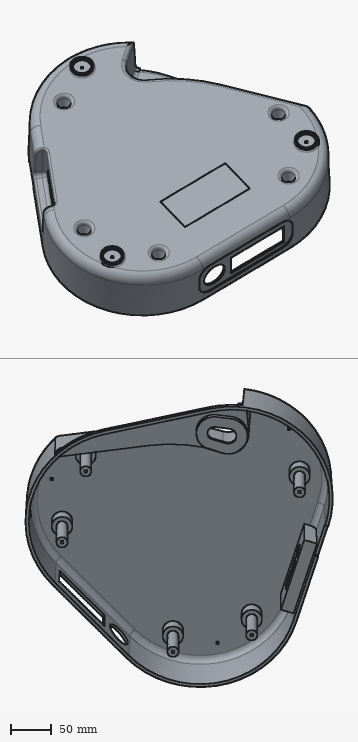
import cadquery as cq
import math

corner_radius = 124.0
side_length = 133.5
body_height = 71.0
draft = 1.5
rim_radius = 12.5
wall = 4.2

corner_distance = side_length / math.sqrt(3)
side_distance = corner_distance / 2 + corner_radius
overshoot = 19.0

notch_floor = 11.0
notch_fillet = 5.7
notch_center = (-81.5, 121.8)
notch_radius = 21.0
notch_lean = 2.0
notch_entry_angle = -82.0
notch_bend_angle = 31.5
notch_exit_angle = 5.2
notch_sweep_radius = 202.5
notch_run = 191.0

slot_big_radius = 10.0
slot_small_radius = 8.5
slot_end = (-65.3, 129.5)
slot_fillet = 9.5

pocket_side = 210.0
pocket_start = -29.8
pocket_width = 89.5
pocket_bottom = 20.5
pocket_depth = 16.8
pocket_fillet = 5.7
pocket_mouth_fillet = 2.5
round_port = (-7.5, 41.5)
round_port_radius = 8.0
square_port = (11.0, 39.7)
square_port_size = 15.3
wide_port = (33.2, 41.5)
wide_port_size = (20.5, 13.5)

gap_height = 4.2
gap_end = -24.5

panel_side = -30.0
panel_size = (143.5, 49.0)
panel_height = 33.2
panel_corner = 17.0
panel_depth = 1.0
panel_lean = 0.8
panel_hole = (-48.0, 33.0)
panel_hole_radius = 16.0
window = (18.5, 31.5)
window_size = (81.7, 31.0)
opening_depth = 11.5

label_distance = 78.0
label_size = (100.0, 50.0)
label_depth = 0.5

foot_distance = 173.0
foot_angles = (30, 150, 270)
foot_outer_radius = 14.3
foot_inner_radius = 11.5
foot_height = 4.0
foot_fillet = 1.7
tooth_count = 36
tooth_gap = 0.95

well_distance = 152.7
well_offset_angle = 19
well_in_notch = 150 - well_offset_angle
well_radius = 8.5
well_fillet = 4.5
well_floor_radius = 4.2
well_depth = 17.0
well_boss_radius = 12.5
post_radius = 7.0
screw_radius = 1.7

touch_tolerance = 0.005


def polar(radius, angle):
    """Point at a distance and an angle in degrees from the middle."""
    a = math.radians(angle)
    return (radius * math.cos(a), radius * math.sin(a))


def ahead_of(point, distance, heading):
    """Point reached by stepping along a heading in degrees."""
    dx, dy = polar(distance, heading)
    return (point[0] + dx, point[1] + dy)


def right_of(point, distance, heading):
    """Point reached by stepping to the right of a heading in degrees."""
    return ahead_of(point, distance, heading - 90)


def side_plane(angle, distance=side_distance):
    """Upright plane facing outward: x runs along the side, y is the height."""
    x, y = polar(distance, angle)
    nx, ny = polar(1, angle)
    return cq.Workplane(cq.Plane(origin=(x, y, 0), xDir=(-ny, nx, 0), normal=(nx, ny, 0)))


def cylinder(center, radius, bottom, top):
    """Upright cylinder between two heights."""
    return cq.Workplane("XY", origin=(*center, bottom)).circle(radius).extrude(top - bottom)


def rounded_triangle(inset=0.0):
    """Outline of three equal corner arcs joined by straight sides."""
    radius = corner_radius - inset
    outline = cq.Workplane("XY")
    for number, angle in enumerate(foot_angles):
        center = polar(corner_distance, angle)
        start, middle, end = [ahead_of(center, radius, angle + turn) for turn in (-60, 0, 60)]
        outline = outline.lineTo(*start) if number else outline.moveTo(*start)
        outline = outline.threePointArc(middle, end)
    return outline.close()


def domed_body(inset=0.0):
    """Drafted triangle with a rounded top edge, shrunk evenly by the inset."""
    body = rounded_triangle(inset).extrude(body_height - inset, taper=draft)
    return body.faces(">Z").edges().fillet(rim_radius - inset)


def notch_outline(bottom, growth):
    """Outline of all that lies behind the notch wall; growth moves the wall toward the body."""
    tight = notch_radius + growth
    wide = notch_sweep_radius - growth
    entry = right_of(notch_center, tight, notch_entry_angle)
    low = right_of(notch_center, tight, 0)
    bend = right_of(notch_center, tight, notch_bend_angle)
    sweep_center = right_of(bend, wide, notch_bend_angle)
    sweep_middle = right_of(sweep_center, -wide, (notch_bend_angle + notch_exit_angle) / 2)
    sweep_end = right_of(sweep_center, -wide, notch_exit_angle)
    far = ahead_of(sweep_end, notch_run, notch_exit_angle)
    back = ahead_of(entry, -notch_run, notch_entry_angle)
    return (
        cq.Workplane("XY", origin=(0, 0, bottom))
        .moveTo(*back)
        .lineTo(*entry)
        .threePointArc(low, bend)
        .threePointArc(sweep_middle, sweep_end)
        .lineTo(*far)
        .lineTo(far[0], back[1])
        .close()
    )


def notch_prism(bottom, height, growth=0.0):
    """Upright block over the notch outline."""
    return notch_outline(bottom, growth).extrude(height)


def leaning_notch(bottom, growth=0.0):
    """Block over the notch outline, widening evenly up to the top of the body."""
    lower = notch_outline(bottom, growth).wires().val()
    upper = notch_outline(body_height, growth + notch_lean).wires().val()
    return cq.Workplane(cq.Solid.makeLoft([lower, upper], True))


def slot_prism(growth, bottom, height):
    """Tapered slot: two circles of different radius joined by their outer tangents."""
    big = slot_big_radius + growth
    small = slot_small_radius + growth
    dx = slot_end[0] - notch_center[0]
    dy = slot_end[1] - notch_center[1]
    heading = math.degrees(math.atan2(dy, dx))
    lean = math.degrees(math.acos((big - small) / math.hypot(dx, dy)))
    return (
        cq.Workplane("XY", origin=(0, 0, bottom))
        .moveTo(*ahead_of(notch_center, big, heading + lean))
        .threePointArc(
            ahead_of(notch_center, big, heading + 180),
            ahead_of(notch_center, big, heading - lean),
        )
        .lineTo(*ahead_of(slot_end, small, heading - lean))
        .threePointArc(
            ahead_of(slot_end, small, heading),
            ahead_of(slot_end, small, heading + lean),
        )
        .close()
        .extrude(height)
    )


def cut_notch(body):
    """Remove the handle notch, with rounded lip, wall foot and floor edge."""
    block_size = 6 * corner_radius
    lip_reach = 1.5 * corner_radius
    block = cq.Workplane("XY").box(block_size, block_size, body_height, centered=(True, True, False))
    pocket = leaning_notch(notch_floor).faces("<Z").edges().fillet(notch_fillet)
    block = block.cut(pocket)
    lip = cq.selectors.BoxSelector(
        (-lip_reach, 0, notch_floor + notch_fillet),
        (lip_reach, 2 * lip_reach, body_height + overshoot),
    )
    block = block.faces(">Z").edges(lip).fillet(notch_fillet)
    floor = rounded_triangle().extrude(notch_floor, taper=draft)
    floor = floor.faces(">Z").edges().fillet(notch_fillet)
    floor_edge = notch_prism(0, notch_floor).cut(floor)
    return body.intersect(block).cut(floor_edge)


def cut_slot(body):
    """Cut the slot and round its upper edge, leaving the foot of the notch wall whole."""
    plate = slot_prism(slot_fillet + overshoot, 0, notch_floor).cut(slot_prism(0, 0, notch_floor))
    mouth = plate.faces(">Z").val().innerWires()[0].Edges()
    plate = plate.val().fillet(slot_fillet, mouth)
    flare = slot_prism(slot_fillet, 0, notch_floor).cut(plate)
    flare = flare.intersect(notch_prism(0, notch_floor, -notch_fillet))
    return body.cut(flare).cut(slot_prism(0, 0, body_height))


def pocket_block(growth=0.0):
    """Connector pocket, open outward and upward, enlarged by the growth."""
    return (
        side_plane(pocket_side, side_distance + overshoot)
        .moveTo(pocket_start - growth, pocket_bottom - growth)
        .lineTo(pocket_start + pocket_width + growth, pocket_bottom - growth)
        .lineTo(pocket_start + pocket_width + growth, body_height + overshoot)
        .lineTo(pocket_start - growth, body_height + overshoot)
        .close()
        .extrude(-(overshoot + pocket_depth + growth))
    )


def shared_edges(body, *solids):
    """Edges of the body that lie on the skin of every given solid."""
    skins = [solid.val().Shells()[0] for solid in solids]
    edges = []
    for edge in body.edges().vals():
        middle = cq.Vertex.makeVertex(*edge.positionAt(0.5).toTuple())
        if all(middle.distance(skin) < touch_tolerance for skin in skins):
            edges.append(edge)
    return edges


def cut_pocket(body):
    """Cut the connector pocket with rounded inner corners and a rounded mouth."""
    outward = cq.Vector(*polar(1, pocket_side), 0)
    across = cq.selectors.ParallelDirSelector(outward)
    cutter = pocket_block()
    inner_edges = cutter.faces(cq.selectors.DirectionMinMaxSelector(outward, False)).edges("not >Z")
    cutter = inner_edges.add(cutter.faces("<Z").edges(across)).fillet(pocket_fillet)
    pocketed = body.cut(cutter)
    mouth = shared_edges(pocketed, body, cutter)
    return cq.Workplane(pocketed.val().fillet(pocket_mouth_fillet, mouth))


def cut_ports(body):
    """Cut the three connector openings through the pocket floor."""
    depth = overshoot + pocket_depth + opening_depth
    start = side_distance + overshoot
    openings = [
        side_plane(pocket_side, start).center(*round_port).circle(round_port_radius).extrude(-depth),
        side_plane(pocket_side, start).center(*square_port).rect(square_port_size, square_port_size).extrude(-depth),
        side_plane(pocket_side, start).center(*wide_port).rect(*wide_port_size).extrude(-depth),
    ]
    for opening in openings:
        body = body.cut(opening)
    return body


def cut_cable_gap(body):
    """Cut the low gap under the side that holds the pocket."""
    width = gap_end + side_length / 2
    gap = (
        side_plane(pocket_side, side_distance + overshoot)
        .center(gap_end - width / 2, 0)
        .rect(width, 2 * gap_height)
        .extrude(-2 * overshoot)
    )
    return body.cut(gap)


def cut_panel(body):
    """Cut the shallow panel recess and the round and rectangular openings through it."""
    recess = (
        side_plane(panel_side, side_distance + overshoot)
        .center(0, panel_height)
        .rect(*panel_size)
        .extrude(-(overshoot + panel_depth + panel_lean))
        .edges(cq.selectors.ParallelDirSelector(cq.Vector(*polar(1, panel_side), 0)))
        .fillet(panel_corner)
    )
    depth = overshoot + opening_depth
    hole = (
        side_plane(panel_side, side_distance + overshoot)
        .center(*panel_hole)
        .circle(panel_hole_radius)
        .extrude(-depth)
    )
    opening = (
        side_plane(panel_side, side_distance + overshoot)
        .center(*window)
        .rect(*window_size)
        .extrude(-depth)
    )
    return body.cut(recess).cut(hole).cut(opening)


def cut_label(body):
    """Cut the shallow label recess beside the panel."""
    x, y = polar(label_distance, panel_side)
    plane = cq.Plane(origin=(x, y, body_height), xDir=(*polar(1, panel_side + 90), 0), normal=(0, 0, 1))
    return body.cut(cq.Workplane(plane).rect(*label_size).extrude(-label_depth))


def well_centers():
    """Centres of the five screw wells."""
    turns = [foot + turn for foot in foot_angles for turn in (-well_offset_angle, well_offset_angle)]
    return [polar(well_distance, turn) for turn in turns if turn != well_in_notch]


def cavity():
    """Hollow inside, open at the base, sparing the walls of every feature."""
    boss_bottom = body_height - well_depth - wall
    hollow = domed_body(wall)
    hollow = hollow.cut(leaning_notch(notch_floor - wall, wall))
    hollow = hollow.cut(slot_prism(slot_fillet + wall, 0, body_height))
    hollow = hollow.cut(pocket_block(wall))
    for center in well_centers():
        hollow = hollow.cut(cylinder(center, post_radius, 0, body_height))
        hollow = hollow.cut(cylinder(center, well_boss_radius, boss_bottom, body_height))
    return hollow


def well_cutter(center):
    """Screw well: flared mouth, tapering bowl and a screw hole to the base."""
    mouth_radius = well_radius + well_fillet
    arc_reach = well_fillet * math.sqrt(0.5)
    return (
        cq.Workplane("XZ", origin=(*center, body_height))
        .lineTo(mouth_radius, 0)
        .threePointArc((mouth_radius - arc_reach, arc_reach - well_fillet), (well_radius, -well_fillet))
        .lineTo(well_floor_radius, -well_depth)
        .lineTo(screw_radius, -well_depth)
        .lineTo(screw_radius, -body_height)
        .lineTo(0, -body_height)
        .close()
        .revolve(360, (0, 0), (0, 1))
    )


def toothed_foot(center):
    """Ring with a concave outer root and radial gaps between its teeth."""
    root = foot_outer_radius + foot_fillet
    arc_reach = foot_fillet * math.sqrt(0.5)
    ring = (
        cq.Workplane("XZ")
        .moveTo(foot_inner_radius, -wall / 2)
        .lineTo(root, -wall / 2)
        .lineTo(root, 0)
        .threePointArc((root - arc_reach, foot_fillet - arc_reach), (foot_outer_radius, foot_fillet))
        .lineTo(foot_outer_radius, foot_height)
        .lineTo(foot_inner_radius, foot_height)
        .close()
        .revolve(360, (0, 0), (0, 1))
    )
    gap_plane = cq.Workplane("XY", origin=(0, 0, foot_fillet))
    gap = gap_plane.rect(3 * foot_outer_radius, tooth_gap).extrude(foot_height)
    for number in range(tooth_count // 2):
        ring = ring.cut(gap.rotate((0, 0, 0), (0, 0, 1), number * 360 / tooth_count))
    return ring.translate((*center, body_height))


result = cut_pocket(domed_body())
result = cut_notch(result)
result = cut_slot(result)
result = result.cut(cavity())
result = cut_ports(result)
result = cut_cable_gap(result)
result = cut_panel(result)
result = cut_label(result)
for well_center in well_centers():
    result = result.cut(well_cutter(well_center))
for foot_angle in foot_angles:
    foot_center = polar(foot_distance, foot_angle)
    result = result.union(toothed_foot(foot_center))
    result = result.cut(cylinder(foot_center, screw_radius, 0, body_height))